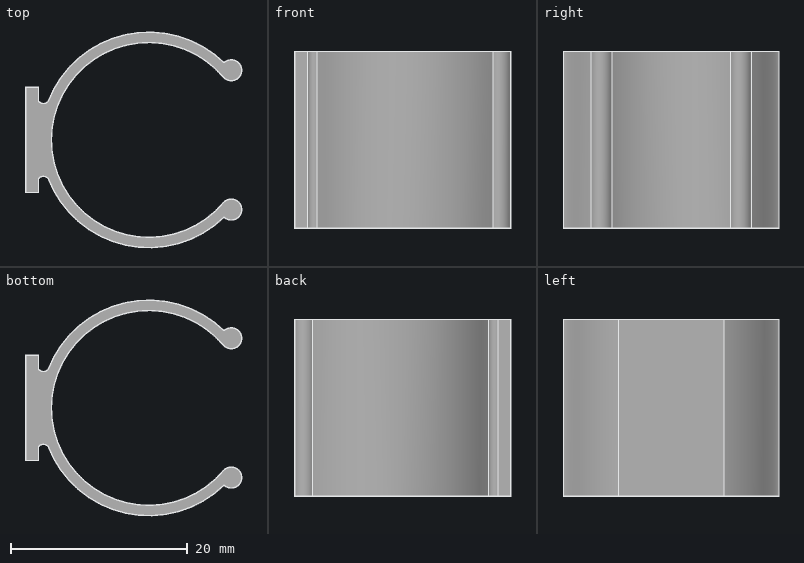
import cadquery as cq
import math

length = 24.45
height = 20.0
outer_radius = 12.2
wall = 1.2
inner_radius = outer_radius - wall

plate_thickness = 1.47
plate_width = 11.93

neck_half_width = 4.37
neck_waist_half_width = 4.13

bead_radius = wall
lip_angle = math.radians(40.2)
bead_x = outer_radius * math.cos(lip_angle)
bead_y = outer_radius * math.sin(lip_angle)

plate_back_x = bead_x + bead_radius - length
plate_front_x = plate_back_x + plate_thickness


def make_open_ring():
    ring = cq.Workplane("XY").circle(outer_radius).circle(inner_radius).extrude(height)
    reach = 2.0
    mouth = (
        cq.Workplane("XY")
        .polyline([(0, 0), (reach * bead_x, -reach * bead_y), (reach * bead_x, reach * bead_y)])
        .close()
        .extrude(height)
    )
    return ring.cut(mouth)


def make_beads():
    return (
        cq.Workplane("XY")
        .pushPoints([(bead_x, bead_y), (bead_x, -bead_y)])
        .circle(bead_radius)
        .extrude(height)
    )


def make_plate():
    return (
        cq.Workplane("XY")
        .center(plate_back_x + plate_thickness / 2, 0)
        .rect(plate_thickness, plate_width)
        .extrude(height)
    )


def make_neck():
    ring_x = -math.sqrt(outer_radius**2 - neck_half_width**2)
    waist_x = (plate_front_x + ring_x) / 2
    mid_wall_x = -(outer_radius + inner_radius) / 2
    return (
        cq.Workplane("XY")
        .moveTo(plate_front_x, -neck_half_width)
        .threePointArc((waist_x, -neck_waist_half_width), (ring_x, -neck_half_width))
        .threePointArc((mid_wall_x, 0), (ring_x, neck_half_width))
        .threePointArc((waist_x, neck_waist_half_width), (plate_front_x, neck_half_width))
        .close()
        .extrude(height)
    )


result = make_open_ring().union(make_beads()).union(make_neck()).union(make_plate())